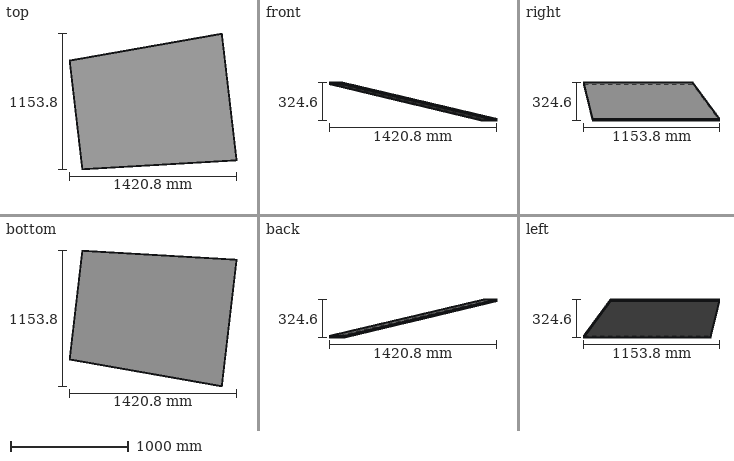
import cadquery as cq

length_x = 1420.79
length_y = 1153.81
height_z = 324.56
thickness = 15.0

high_back_drop = 228.35
high_front_inset = 108.13
low_front_rise = 76.34

high_edge_span_y = length_y - high_back_drop
low_edge_span_y = length_y - low_front_rise
low_back_inset = high_front_inset * low_edge_span_y / high_edge_span_y

left_x = -length_x / 2
right_x = length_x / 2
front_y = -length_y / 2
back_y = length_y / 2

low_z = -height_z / 2
high_z = height_z / 2 - thickness


def make_plate():
    """Flat four-sided plate, sloping down from left to right, with vertical side walls."""
    underside_corners = [
        cq.Vector(left_x, back_y - high_back_drop, high_z),
        cq.Vector(left_x + high_front_inset, front_y, high_z),
        cq.Vector(right_x, front_y + low_front_rise, low_z),
        cq.Vector(right_x - low_back_inset, back_y, low_z),
    ]
    outline = cq.Wire.makePolygon(underside_corners, close=True)
    underside = cq.Face.makeFromWires(outline)
    return cq.Solid.extrudeLinear(underside, cq.Vector(0, 0, thickness))


result = cq.Workplane("XY").newObject([make_plate()])